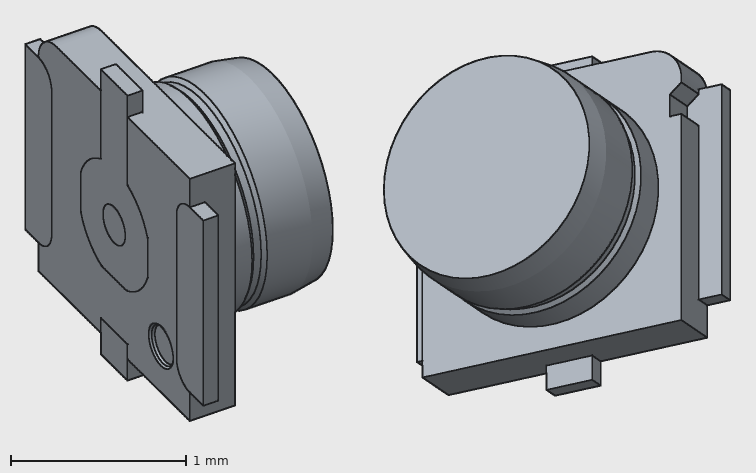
import cadquery as cq

overall_size = 2.0
overall_height = 1.05
terminal_thickness = 0.1

housing_size = 1.7
housing_back = 0.3
key_corner_radius = 0.2

notch_depth = 0.075
notch_bottom_z = 0.425
notch_top_z = 0.56
notch_mouth_top_z = 0.62

marker_offset = 0.525
marker_mouth_radius = 0.1375
marker_chamfer = 0.0125
marker_floor_radius = 0.1185
marker_depth = 0.03

barrel_radius = 0.7
groove_depth = 0.025
groove_start = 0.5
groove_end = 0.6
tip_radius = 0.675
tip_taper_length = 0.15

contact_disc_radius = 0.4
contact_disc_width = 0.75
strip_width = 0.3
pin_radius = 0.125

side_terminal_width = 0.3
side_terminal_length = 1.3
side_terminal_fillet = 0.15
end_terminal_length = 0.255

half_size = overall_size / 2
half_housing = housing_size / 2


def block(x_min, x_max, y_min, y_max, z_min, z_max):
    """Axis-aligned box given by its limits."""
    return cq.Workplane("XY").box(
        x_max - x_min, y_max - y_min, z_max - z_min, centered=False
    ).translate((x_min, y_min, z_min))


def revolve_about_y(points):
    """Solid of revolution about the Y axis from (radius, y) points."""
    return cq.Workplane("XY").polyline(points).close().revolve(360, (0, 0, 0), (0, 1, 0))


def disc(radius, y_min, y_max):
    """Cylinder on the Y axis."""
    return cq.Workplane("XZ", origin=(0, y_min, 0)).circle(radius).extrude(y_min - y_max)


def make_side_terminal(side):
    """Flat ground terminal on one side (-1 or +1 in X), rounded at its inner corners."""
    x_limits = sorted((side * half_size, side * (half_size - side_terminal_width)))
    half_length = side_terminal_length / 2
    terminal = block(*x_limits, 0, terminal_thickness, -half_length, half_length)
    inner_edges = "|Y and >X" if side < 0 else "|Y and <X"
    return terminal.edges(inner_edges).fillet(side_terminal_fillet)


def make_end_terminal():
    """Small rectangular ground terminal at the -Z end."""
    return block(
        -strip_width / 2, strip_width / 2,
        0, terminal_thickness,
        -half_size, -half_size + end_terminal_length,
    )


def make_pin():
    """Centre pin through the contact and the housing, up to the barrel."""
    return disc(pin_radius, 0, housing_back)


def make_contact(pin):
    """Contact plate: a disc with flats and a strip to the +Z end, bored for the pin."""
    half_width = contact_disc_width / 2
    flats = block(-half_width, half_width, 0, terminal_thickness, -half_width, half_width)
    plate = disc(contact_disc_radius, 0, terminal_thickness).intersect(flats)
    strip = block(-strip_width / 2, strip_width / 2, 0, terminal_thickness, 0, half_size)
    return plate.union(strip).cut(pin)


def make_marker_recess():
    """Shallow recess with a chamfered mouth and a slightly tapered wall."""
    recess = revolve_about_y([
        (0, 0),
        (marker_mouth_radius, 0),
        (marker_mouth_radius - marker_chamfer, marker_chamfer),
        (marker_floor_radius, marker_depth),
        (0, marker_depth),
    ])
    return recess.translate((marker_offset, 0, -marker_offset))


def make_side_notch():
    """Notch cutter whose top face slopes up toward the housing's side face."""
    mouth_x = -half_housing
    floor_x = mouth_x + notch_depth
    return (
        cq.Workplane("XZ", origin=(0, terminal_thickness, 0))
        .moveTo(mouth_x, notch_bottom_z)
        .lineTo(floor_x, notch_bottom_z)
        .lineTo(floor_x, notch_top_z)
        .lineTo(mouth_x, notch_mouth_top_z)
        .close()
        .extrude(terminal_thickness - housing_back)
    )


def make_housing(inserts):
    """Square housing with one rounded corner, pocketed for the bodies set into it."""
    housing = block(
        -half_housing, half_housing,
        0, housing_back,
        -half_housing, half_housing,
    )
    housing = housing.edges("|Y and <X and >Z").fillet(key_corner_radius)
    housing = housing.cut(make_side_notch()).cut(make_marker_recess())
    for insert in inserts:
        housing = housing.cut(insert)
    return housing


def make_barrel():
    """Barrel with a V-sided snap groove and a tapered tip."""
    groove_radius = barrel_radius - groove_depth
    return revolve_about_y([
        (0, housing_back),
        (barrel_radius, housing_back),
        (barrel_radius, groove_start),
        (groove_radius, groove_start + groove_depth),
        (groove_radius, groove_end - groove_depth),
        (barrel_radius, groove_end),
        (barrel_radius, overall_height - tip_taper_length),
        (tip_radius, overall_height),
        (0, overall_height),
    ])


side_terminals = [make_side_terminal(side) for side in (-1, 1)]
end_terminal = make_end_terminal()
pin = make_pin()
contact = make_contact(pin)
housing = make_housing([*side_terminals, end_terminal, contact, pin])
barrel = make_barrel()

result = cq.Compound.makeCompound([
    housing.val(),
    barrel.val(),
    contact.val(),
    pin.val(),
    end_terminal.val(),
    *[terminal.val() for terminal in side_terminals],
])